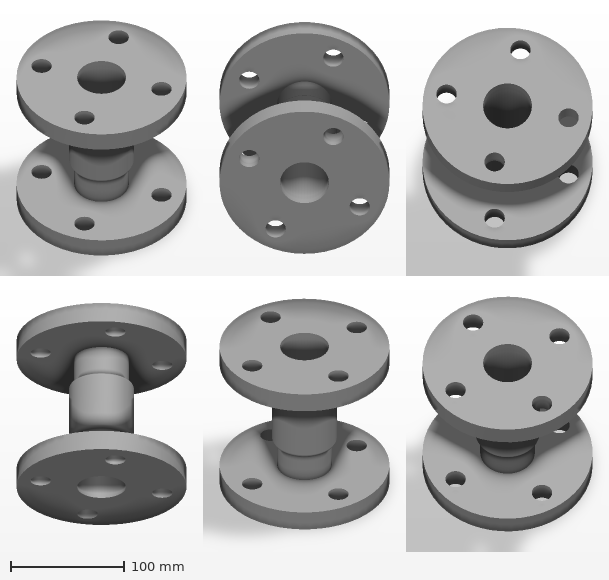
import cadquery as cq
import math

flange_diameter = 150.0
flange_thickness = 18.0
overall_height = 144.0

pipe_diameter = 48.3
bore_diameter = 43.0
sleeve_diameter = 57.3
sleeve_height = 59.4
shoulder_height = 5.4

bolt_hole_count = 4
bolt_hole_diameter = 18.0
bolt_circle_diameter = 110.0
first_bolt_angle = 45.0

flange_radius = flange_diameter / 2
pipe_radius = pipe_diameter / 2
sleeve_radius = sleeve_diameter / 2
half_height = overall_height / 2
flange_inner_z = half_height - flange_thickness
shoulder_outer_z = sleeve_height / 2
shoulder_inner_z = shoulder_outer_z - shoulder_height
shoulder_middle_radius = (pipe_radius + sleeve_radius) / 2
shoulder_middle_z = (shoulder_outer_z + shoulder_inner_z) / 2


def make_body():
    """Revolve the solid outline; each S-shaped shoulder is two tangent arcs."""
    outline = (
        cq.Workplane("XZ")
        .moveTo(0, -half_height)
        .lineTo(flange_radius, -half_height)
        .lineTo(flange_radius, -flange_inner_z)
        .lineTo(pipe_radius, -flange_inner_z)
        .lineTo(pipe_radius, -shoulder_outer_z)
        .tangentArcPoint((shoulder_middle_radius, -shoulder_middle_z), relative=False)
        .tangentArcPoint((sleeve_radius, -shoulder_inner_z), relative=False)
        .lineTo(sleeve_radius, shoulder_inner_z)
        .tangentArcPoint((shoulder_middle_radius, shoulder_middle_z), relative=False)
        .tangentArcPoint((pipe_radius, shoulder_outer_z), relative=False)
        .lineTo(pipe_radius, flange_inner_z)
        .lineTo(flange_radius, flange_inner_z)
        .lineTo(flange_radius, half_height)
        .lineTo(0, half_height)
        .close()
    )
    return outline.revolve(360, (0, 0, 0), (0, 1, 0))


def make_through_cylinder(diameter, x, y):
    """Return a vertical cutter spanning the full height of the part."""
    return (
        cq.Workplane("XY", origin=(x, y, -half_height))
        .circle(diameter / 2)
        .extrude(overall_height)
    )


result = make_body()

result = result.cut(make_through_cylinder(bore_diameter, 0, 0))

for index in range(bolt_hole_count):
    angle = math.radians(first_bolt_angle + index * 360 / bolt_hole_count)
    hole_x = bolt_circle_diameter / 2 * math.cos(angle)
    hole_y = bolt_circle_diameter / 2 * math.sin(angle)
    result = result.cut(make_through_cylinder(bolt_hole_diameter, hole_x, hole_y))